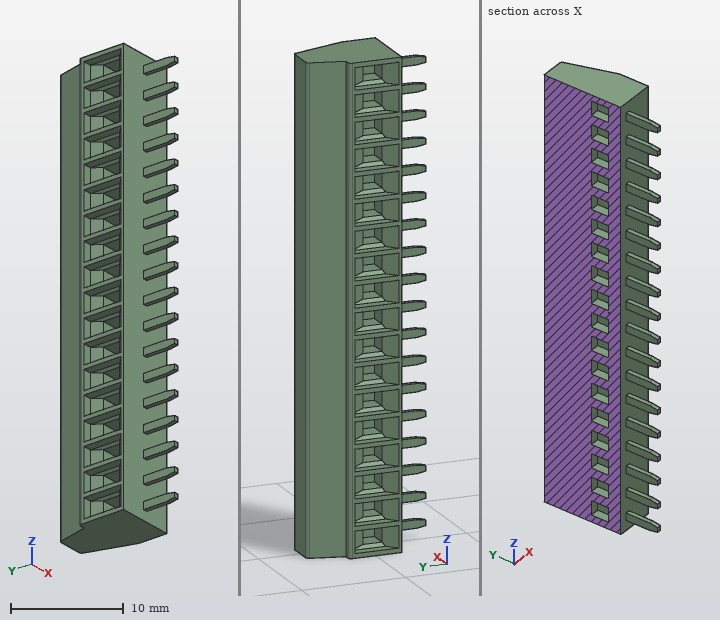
import cadquery as cq

POLES = 18
PITCH = 2.54
END_MARGIN = 1.5
LENGTH = (POLES - 1) * PITCH + 2 * END_MARGIN

WIDTH = 6.2
HEIGHT = 8.5
STEP_HEIGHT = 5.08
STEP_WIDTH = 0.75
CREST_LEFT = 1.6
CREST_RIGHT = 4.6
SHOULDER_HEIGHT = 3.2
STEP_FILLET = 0.3
CREST_FILLET = 0.3

ENTRY_LOW = 0.28
ENTRY_HIGH = 4.5
ENTRY_HEIGHT = 2.1
ENTRY_DEPTH = 0.95
HOLE_LOW = 1.42
HOLE_HIGH = 3.25
HOLE_HEIGHT = 1.5
HOLE_RISE = 0.05
FUNNEL_DEPTH = 1.2
HOLE_DEPTH = 3.0

PIN_LENGTH = 3.5
PIN_THICKNESS = 0.45
PIN_WIDTH = 0.8
PIN_TIP_WIDTH = 0.5
PIN_TIP_LENGTH = 0.9


def make_housing():
    """Stepped, tapering profile drawn out along Z, with its upper corners rounded."""
    outline = [
        (0, 0),
        (WIDTH, 0),
        (WIDTH, SHOULDER_HEIGHT),
        (CREST_RIGHT, HEIGHT),
        (CREST_LEFT, HEIGHT),
        (STEP_WIDTH, STEP_HEIGHT),
        (0, STEP_HEIGHT),
    ]
    housing = cq.Workplane("XY").polyline(outline).close().extrude(LENGTH)
    crest_edges = housing.faces(">Y").edges("|Z")
    housing = crest_edges.fillet(CREST_FILLET)
    step_edge = housing.faces("<X").edges("|Z").edges(">Y")
    return step_edge.fillet(STEP_FILLET)


def prism_along_z(outline, height):
    """XY outline drawn out along Z, centred on Z = 0."""
    return cq.Workplane("XY").polyline(outline).close().extrude(height / 2, both=True)


def make_wire_entry():
    """Cutter for one wire entry, centred on Z = 0: straight mouth, funnel and wire hole."""
    ramp_slope = (HOLE_LOW - ENTRY_LOW) / FUNNEL_DEPTH
    ramp_at_mouth_end = ENTRY_LOW + ramp_slope * ENTRY_DEPTH
    mouth = prism_along_z(
        [
            (0, ENTRY_LOW),
            (ENTRY_DEPTH, ramp_at_mouth_end),
            (ENTRY_DEPTH, ENTRY_HIGH),
            (0, ENTRY_HIGH),
        ],
        ENTRY_HEIGHT,
    )
    mouth_end_span = ENTRY_HIGH - ramp_at_mouth_end
    hole_span = HOLE_HIGH - HOLE_LOW
    mouth_end_middle = (ENTRY_HIGH + ramp_at_mouth_end) / 2
    hole_middle = (HOLE_HIGH + HOLE_LOW) / 2
    funnel = (
        cq.Workplane("YZ", origin=(ENTRY_DEPTH, mouth_end_middle, 0))
        .rect(mouth_end_span, ENTRY_HEIGHT)
        .workplane(offset=FUNNEL_DEPTH - ENTRY_DEPTH)
        .center(hole_middle - mouth_end_middle, HOLE_RISE)
        .rect(hole_span, HOLE_HEIGHT)
        .loft(ruled=True)
    )
    hole = (
        cq.Workplane("YZ", origin=(FUNNEL_DEPTH, hole_middle, HOLE_RISE))
        .rect(hole_span, HOLE_HEIGHT)
        .extrude(HOLE_DEPTH - FUNNEL_DEPTH)
    )
    return mouth.union(funnel).union(hole)


def make_pin():
    """Flat pin with a tapered tip, centred on Z = 0 and hanging below the housing."""
    taper_start = PIN_TIP_LENGTH - PIN_LENGTH
    outline = [
        (0, PIN_WIDTH / 2),
        (taper_start, PIN_WIDTH / 2),
        (-PIN_LENGTH, PIN_TIP_WIDTH / 2),
        (-PIN_LENGTH, -PIN_TIP_WIDTH / 2),
        (taper_start, -PIN_WIDTH / 2),
        (0, -PIN_WIDTH / 2),
    ]
    pin = cq.Workplane("YZ").polyline(outline).close().extrude(PIN_THICKNESS / 2, both=True)
    return pin.translate((WIDTH / 2, 0, 0))


result = make_housing()
wire_entry = make_wire_entry()
pin = make_pin()
for pole in range(POLES):
    pole_middle = (0, 0, END_MARGIN + pole * PITCH)
    result = result.cut(wire_entry.translate(pole_middle))
    result = result.union(pin.translate(pole_middle))